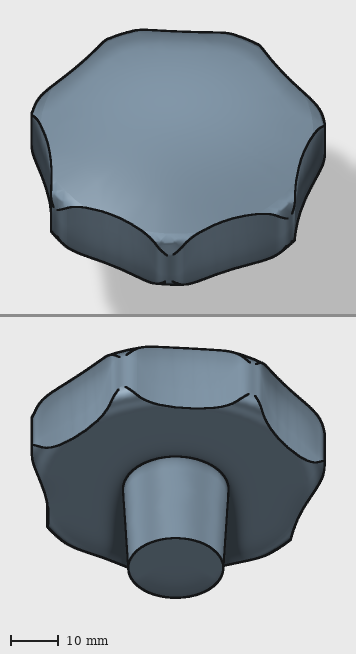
import cadquery as cq
import math

lobe_count = 7
head_radius = 31.5
lobe_tip_radius = 4.5
scallop_depth = 4.2

total_height = 42.0
stem_height = 21.1
dome_radius = 81.4
rim_fillet = 4.45
blank_clearance = 0.005

stem_bottom_radius = 10.0
stem_top_radius = 11.1

lobe_angle = 2 * math.pi / lobe_count
first_lobe_angle = math.pi / 2

lobe_center_radius = head_radius - lobe_tip_radius
scallop_floor_radius = head_radius - scallop_depth
lobe_along = lobe_center_radius * math.cos(lobe_angle / 2)
lobe_across = lobe_center_radius * math.sin(lobe_angle / 2)
floor_gap = scallop_floor_radius - lobe_along
scallop_radius = (lobe_across**2 + floor_gap**2 - lobe_tip_radius**2) / (2 * (lobe_tip_radius - floor_gap))
scallop_center_radius = scallop_floor_radius + scallop_radius

tangent_share = scallop_radius / (scallop_radius + lobe_tip_radius)
tangent_along = scallop_center_radius + tangent_share * (lobe_along - scallop_center_radius)
tangent_across = tangent_share * lobe_across
tangent_radius = math.hypot(tangent_along, tangent_across)
scallop_half_angle = math.atan2(tangent_across, tangent_along)


def polar(radius, angle):
    return (radius * math.cos(angle), radius * math.sin(angle))


def star_prism():
    """Full-height prism with the alternating lobe and scallop outline."""
    start_angle = first_lobe_angle - lobe_angle / 2 + scallop_half_angle
    outline = cq.Workplane("XY").moveTo(*polar(tangent_radius, start_angle))
    for index in range(lobe_count):
        tip_angle = first_lobe_angle + index * lobe_angle
        scallop_angle = tip_angle + lobe_angle / 2
        outline = outline.threePointArc(
            polar(head_radius, tip_angle),
            polar(tangent_radius, scallop_angle - scallop_half_angle),
        )
        outline = outline.threePointArc(
            polar(scallop_floor_radius, scallop_angle),
            polar(tangent_radius, scallop_angle + scallop_half_angle),
        )
    return outline.close().extrude(total_height)


def domed_disc():
    """Round head blank with a spherical top and filleted rims."""
    cylinder = (
        cq.Workplane("XY")
        .workplane(offset=stem_height)
        .circle(head_radius + blank_clearance)
        .extrude(total_height - stem_height)
    )
    dome = cq.Workplane("XY").sphere(dome_radius).translate((0, 0, total_height - dome_radius))
    return cylinder.intersect(dome).edges("%CIRCLE").fillet(rim_fillet)


def tapered_stem():
    """Solid stem that widens towards the head."""
    return (
        cq.Workplane("XZ")
        .lineTo(stem_bottom_radius, 0)
        .lineTo(stem_top_radius, stem_height)
        .lineTo(0, stem_height)
        .close()
        .revolve(360, (0, 0, 0), (0, 1, 0))
    )


head = domed_disc().intersect(star_prism())
result = head.union(tapered_stem())